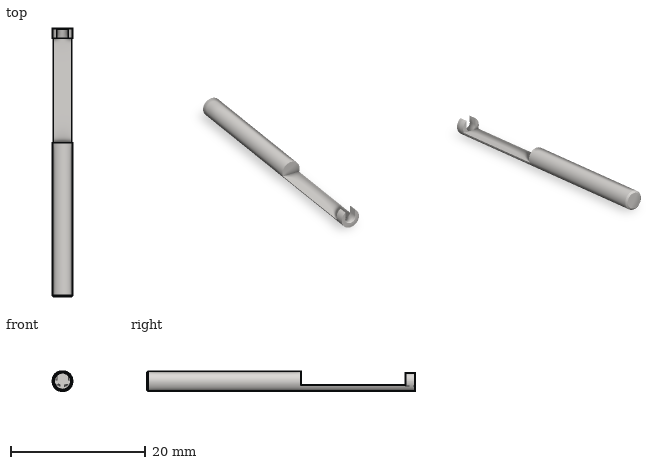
import cadquery as cq

diameter = 3.0
total_length = 40.0
handle_length = 23.0
head_length = 1.45
neck_thickness = 0.95
end_chamfer = 0.25
slot_width = 1.7
slot_axis_height = 0.2
slot_chamfer = 0.12

radius = diameter / 2
neck_top = neck_thickness - radius
neck_length = total_length - handle_length - head_length
head_start = total_length - head_length


def rod_along_y(rod_radius, length, start_y, axis_z=0):
    """Cylinder that runs in +Y from the given start."""
    return (
        cq.Workplane("XZ", origin=(0, start_y, axis_z))
        .circle(rod_radius)
        .extrude(-length)
    )


def box_above(width, length, start_y, bottom_z):
    """Box centred on X that starts at the given Y and rises past the top of the rod."""
    height = diameter - bottom_z
    return (
        cq.Workplane("XY", origin=(0, start_y, bottom_z))
        .box(width, length, height, centered=(True, False, False))
    )


def body():
    """Round rod along +Y with a chamfered handle end at Y = 0."""
    return rod_along_y(radius, total_length, 0).faces("<Y").chamfer(end_chamfer)


def neck_relief():
    """Material above the flat neck, between the handle and the head."""
    return box_above(diameter, neck_length, handle_length, neck_top)


def head_slot():
    """U-shaped slot through the head, open at the top."""
    floor = rod_along_y(slot_width / 2, head_length, head_start, slot_axis_height)
    opening = box_above(slot_width, head_length, head_start, slot_axis_height)
    return floor.union(opening)


def slot_floor_chamfer():
    """Half cone that breaks the edge of the round slot floor at the free end of the head."""
    slot_radius = slot_width / 2
    cone = (
        cq.Workplane("XZ", origin=(0, total_length, slot_axis_height))
        .circle(slot_radius + slot_chamfer)
        .workplane(offset=slot_chamfer)
        .circle(slot_radius)
        .loft()
    )
    upper_half = box_above(diameter, head_length, head_start, slot_axis_height)
    return cone.cut(upper_half)


result = body().cut(neck_relief()).cut(head_slot()).cut(slot_floor_chamfer())